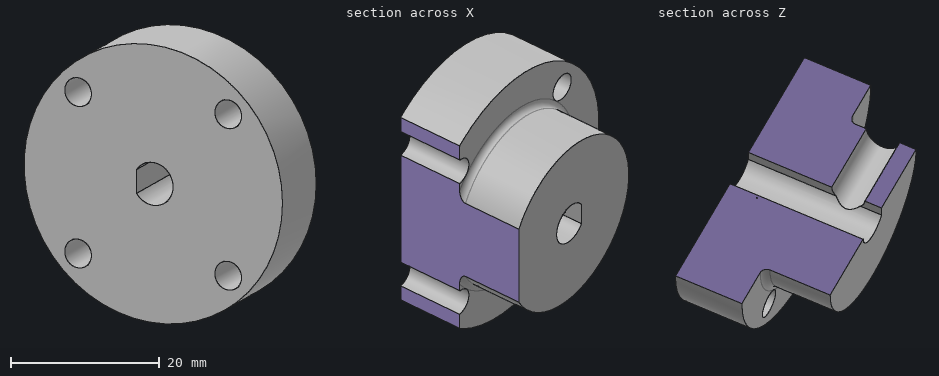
import cadquery as cq
import math

flange_diameter = 39.0
boss_diameter = 26.0
total_length = 20.0
flange_thickness = total_length / 2
boss_length = total_length - flange_thickness
root_fillet = 0.98

bore_diameter = 6.0
flat_distance = 2.5

mount_hole_diameter = 4.0
mount_circle_diameter = 32.0
mount_hole_count = 4
first_hole_angle = 45.0

screw_hole_diameter = 4.9
screw_hole_y = flange_thickness + boss_length / 2


def disc(diameter, start_y, length):
    """Cylinder along +Y, centred on the hub axis."""
    return cq.Workplane("XZ", origin=(0, start_y, 0)).circle(diameter / 2).extrude(-length)


def hub_body():
    """Flange and boss, blended by a fillet at the root of the boss."""
    flange = disc(flange_diameter, 0, flange_thickness)
    boss = disc(boss_diameter, flange_thickness, boss_length)
    root_edge = cq.selectors.RadiusNthSelector(0)
    body = flange.union(boss)
    return body.faces(">Y[-2]").edges(root_edge).fillet(root_fillet)


def shaft_bore():
    """Through bore with one side cut flat."""
    half_flat = math.sqrt((bore_diameter / 2) ** 2 - flat_distance ** 2)
    return (
        cq.Workplane("XZ")
        .moveTo(-flat_distance, -half_flat)
        .threePointArc((bore_diameter / 2, 0), (-flat_distance, half_flat))
        .close()
        .extrude(-total_length)
    )


def mount_holes():
    """Ring of through holes in the flange."""
    return (
        cq.Workplane("XZ")
        .polarArray(mount_circle_diameter / 2, first_hole_angle, 360, mount_hole_count)
        .circle(mount_hole_diameter / 2)
        .extrude(-flange_thickness)
    )


def screw_hole():
    """Radial hole from the -X side of the boss into the shaft bore."""
    return (
        cq.Workplane("YZ", origin=(0, screw_hole_y, 0))
        .circle(screw_hole_diameter / 2)
        .extrude(-boss_diameter / 2)
    )


result = hub_body().cut(shaft_bore()).cut(mount_holes()).cut(screw_hole())